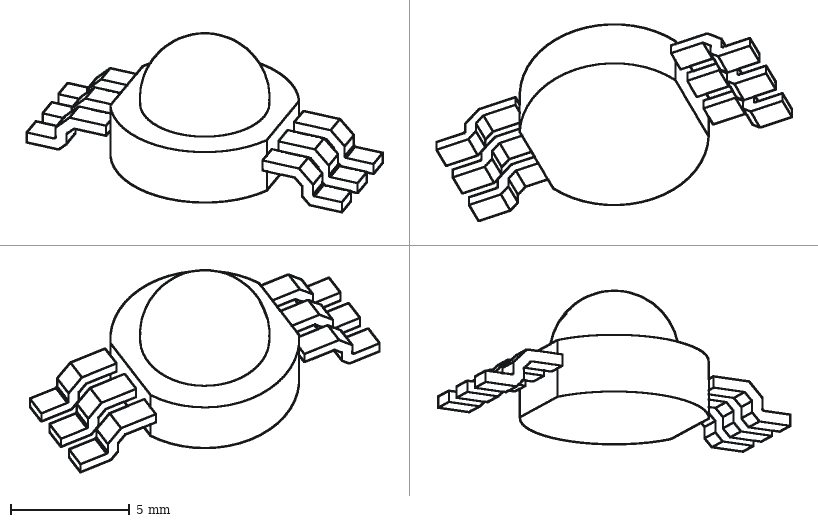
import cadquery as cq
import math

housing_radius = 4.0
housing_height = 2.5
flat_distance = 3.6

lens_radius = 2.75
overall_height = 5.5
lens_center_z = overall_height - lens_radius

overall_length = 14.5
lead_width = 1.0
lead_pitch = 1.7
lead_thickness = 0.5
leads_per_side = 3
foot_clearance = 0.05
shoulder_bottom_z = 1.25
bend_step = 0.35
bend_angle = 45.0
miter = lead_thickness * math.tan(math.radians(bend_angle / 2))


def make_housing(lens):
    """Disc trimmed by the two flats, with a seat that fits the lens."""
    flats = cq.Workplane("XY").box(
        2 * flat_distance, 2 * housing_radius, housing_height, centered=(True, True, False)
    )
    disc = cq.Workplane("XY").circle(housing_radius).extrude(housing_height)
    return disc.intersect(flats).cut(lens)


def make_lens():
    return cq.Workplane("XY").sphere(lens_radius).translate((0, 0, lens_center_z))


def make_lead(side, center_y):
    """One lead; side is +1 or -1 along X."""
    tip_x = overall_length / 2
    straight_length = (tip_x - flat_distance - 2 * bend_step) / 2
    shoulder_end_x = flat_distance + straight_length
    riser_inner_x = shoulder_end_x + bend_step
    riser_outer_x = riser_inner_x + lead_thickness
    foot_start_x = riser_inner_x + bend_step
    riser_bottom_z = foot_clearance + bend_step
    riser_top_z = shoulder_bottom_z - bend_step
    foot_top_z = foot_clearance + lead_thickness
    shoulder_top_z = shoulder_bottom_z + lead_thickness

    underside = [
        (flat_distance, shoulder_bottom_z),
        (shoulder_end_x, shoulder_bottom_z),
        (riser_inner_x, riser_top_z),
        (riser_inner_x, riser_bottom_z),
        (foot_start_x, foot_clearance),
        (tip_x, foot_clearance),
    ]
    upper_side = [
        (tip_x, foot_top_z),
        (foot_start_x + miter, foot_top_z),
        (riser_outer_x, riser_bottom_z + miter),
        (riser_outer_x, riser_top_z + miter),
        (shoulder_end_x + miter, shoulder_top_z),
        (flat_distance, shoulder_top_z),
    ]
    outline = [(side * x, z) for x, z in underside + upper_side]
    return (
        cq.Workplane("XZ", origin=(0, center_y, 0))
        .polyline(outline)
        .close()
        .extrude(lead_width / 2, both=True)
    )


lens = make_lens()
housing = make_housing(lens).solids()

leads = []
for side in (-1, 1):
    for index in range(leads_per_side):
        center_y = (index - (leads_per_side - 1) / 2) * lead_pitch
        leads.append(make_lead(side, center_y).solids().val())

result = cq.Compound.makeCompound([housing.val(), lens.val(), *leads])